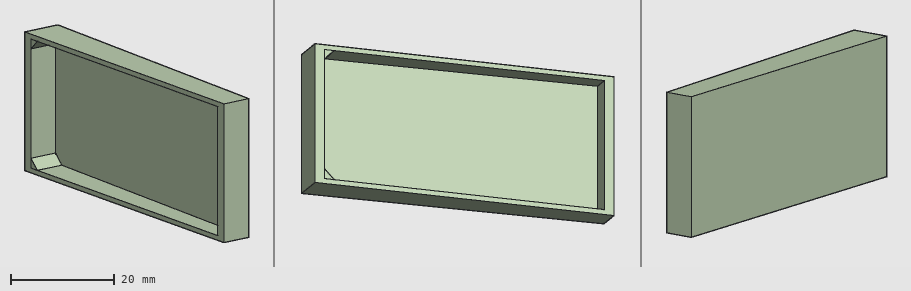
import cadquery as cq

length = 62.0
height = 28.0
deep_end = 8.0
shallow_end = 6.0
end_wall = 2.0
side_wall = 1.0
floor_thickness = 2.0

block_leg = 2.0

cavity_left = end_wall
cavity_right = length - end_wall
cavity_bottom = side_wall
cavity_top = height - side_wall
floor_y = -floor_thickness


def make_envelope():
    """Outer wedge: flat back at Y = 0 and a slanted -Y face."""
    return (
        cq.Workplane("XY")
        .polyline([(0, 0), (length, 0), (length, -shallow_end), (0, -deep_end)])
        .close()
        .extrude(height)
    )


def extrude_from_floor(corners):
    """Extrude an XZ outline from the tray floor toward -Y, past the deepest rim."""
    return (
        cq.Workplane("XZ", origin=(0, floor_y, 0))
        .polyline(corners)
        .close()
        .extrude(deep_end)
    )


def make_housing():
    """Outer wedge with a rectangular cavity opening through the slanted face."""
    cavity = extrude_from_floor([
        (cavity_left, cavity_bottom),
        (cavity_right, cavity_bottom),
        (cavity_right, cavity_top),
        (cavity_left, cavity_top),
    ])
    return make_envelope().cut(cavity)


def make_corner_block(corner_z, inward):
    """Triangular block in a cavity corner; inward is +1 or -1 along Z. Its front is flush with the rim."""
    block = extrude_from_floor([
        (cavity_left, corner_z),
        (cavity_left + block_leg, corner_z),
        (cavity_left, corner_z + inward * block_leg),
    ])
    return block.intersect(make_envelope())


housing = make_housing()
corner_blocks = [
    make_corner_block(corner_z, inward)
    for corner_z, inward in [(cavity_bottom, 1), (cavity_top, -1)]
]

result = cq.Compound.makeCompound([housing.val(), *[block.val() for block in corner_blocks]])